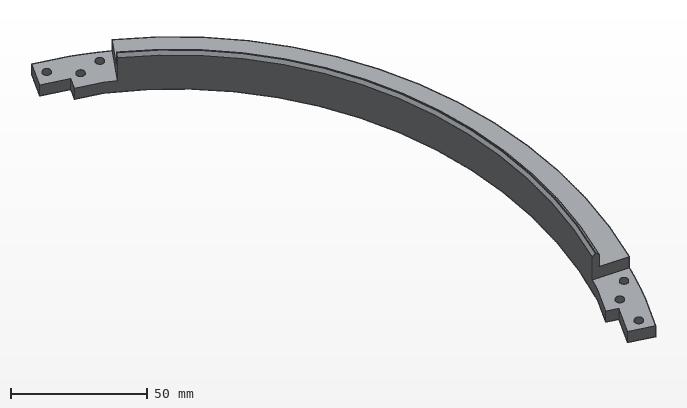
import cadquery as cq
import math

overall_length = 263.0

outer_radius = 182.0
bar_width = 15.0
inner_radius = outer_radius - bar_width
bar_half_angle = 36.8

tab_height = 6.0
bar_height = 12.0
overall_height = 20.0

lip_thickness = 3.0
lip_chamfer = 1.3

tab_angle = 45.0
tab_outer = 181.8
tab_inner = 171.0
tab_turn = math.radians(tab_angle)
tab_end = (overall_length / 2 - tab_outer * math.sin(tab_turn)) / math.cos(tab_turn)
lug_inner = 166.0
lug_end = -7.5
root_half_angle = 40.0
root_along = -math.sqrt(inner_radius**2 - lug_inner**2)

hole_diameter = 3.5
hole_line = 176.5
hole_places = [(hole_line, 0.0), (172.5, -11.8), (hole_line, -20.3)]


def polar(radius, angle):
    """Point at an angle in degrees, measured from +Y towards -X."""
    turn = math.radians(angle)
    return (-radius * math.sin(turn), radius * math.cos(turn))


def ring_sector(inside, outside, half_angle, height):
    """Upright sector of a ring standing on Z = 0, centred on +Y."""
    return (
        cq.Workplane("XY")
        .moveTo(*polar(outside, half_angle))
        .threePointArc((0, outside), polar(outside, -half_angle))
        .lineTo(*polar(inside, -half_angle))
        .threePointArc((0, inside), polar(inside, half_angle))
        .close()
        .extrude(height)
    )


def make_lip():
    """Full-height inner lip with both top edges chamfered."""
    lip = ring_sector(inner_radius, inner_radius + lip_thickness, bar_half_angle, overall_height)
    return lip.faces(">Z").edges("%CIRCLE").chamfer(lip_chamfer)


def tab_plane():
    """Plane whose local x is radial and whose local y is along the tab."""
    radial = polar(1, tab_angle)
    return cq.Plane(origin=(0, 0, 0), xDir=(radial[0], radial[1], 0), normal=(0, 0, 1))


def make_tab():
    """Stepped tab at the -X end, trimmed to the outer circle of the bar."""
    outline = [
        (tab_outer, root_along),
        (tab_outer, tab_end),
        (tab_inner, tab_end),
        (tab_inner, lug_end),
        (lug_inner, lug_end),
        (lug_inner, root_along),
    ]
    tab = cq.Workplane(tab_plane()).polyline(outline).close().extrude(tab_height)
    return tab.intersect(cq.Workplane("XY").circle(outer_radius).extrude(tab_height))


def make_tab_holes():
    """Cutters for the three through holes of the -X tab."""
    return (
        cq.Workplane(tab_plane())
        .pushPoints(hole_places)
        .circle(hole_diameter / 2)
        .extrude(tab_height)
    )


bar = ring_sector(inner_radius, outer_radius, bar_half_angle, bar_height)
root = ring_sector(inner_radius, outer_radius, root_half_angle, tab_height)
tab = make_tab()
holes = make_tab_holes()

result = bar.union(root).union(make_lip()).union(tab).union(tab.mirror("YZ"))
result = result.cut(holes).cut(holes.mirror("YZ"))